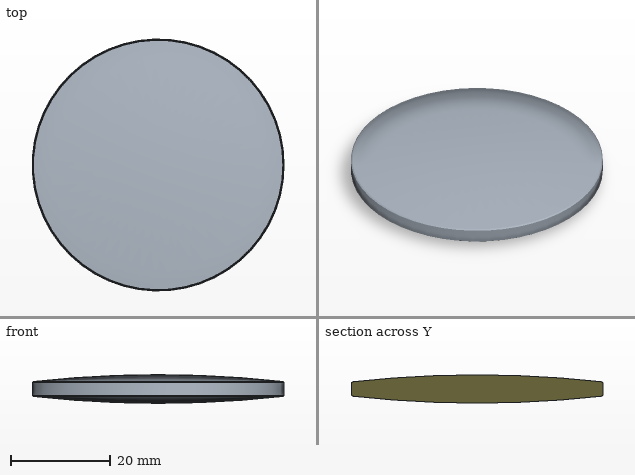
import cadquery as cq
import math

diameter = 50.8
centre_thickness = 5.8
edge_thickness = 3.0
bevel_width = 0.25
bevel_height = 0.2

rim_radius = diameter / 2
face_radius = rim_radius - bevel_width
apex_z = centre_thickness / 2
face_edge_z = edge_thickness / 2
rim_z = face_edge_z - bevel_height

sag = apex_z - face_edge_z
sphere_radius = (face_radius**2 + sag**2) / (2 * sag)
sphere_centre_z = apex_z - sphere_radius

mid_x = face_radius / 2
mid_z = sphere_centre_z + math.sqrt(sphere_radius**2 - mid_x**2)

half_profile = (
    cq.Workplane("XZ")
    .moveTo(0, -apex_z)
    .threePointArc((mid_x, -mid_z), (face_radius, -face_edge_z))
    .lineTo(rim_radius, -rim_z)
    .lineTo(rim_radius, rim_z)
    .lineTo(face_radius, face_edge_z)
    .threePointArc((mid_x, mid_z), (0, apex_z))
    .close()
)

axis_start = (0, 0)
axis_end = (0, 1)
result = half_profile.revolve(360, axis_start, axis_end)